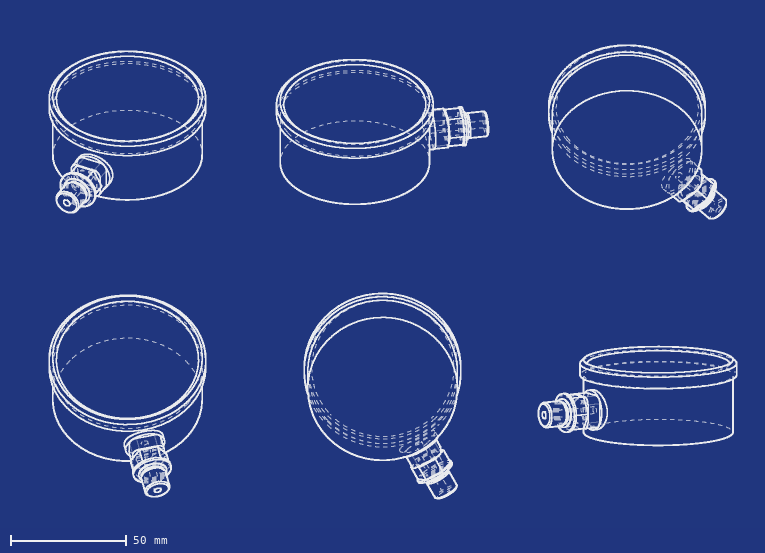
import cadquery as cq
import math

case_radius = 32.45
total_height = 32.0
overall_length = 92.14
bezel_diameter = 68.07
bezel_radius = bezel_diameter / 2
bezel_bottom = 25.3
bezel_bevel = 1.6

axis_height = 13.0
bore_radius = 1.5
wrench_size = 14.0
square_corner_fillet = 3.0
hexagon_corner_radius = wrench_size / 2 / math.cos(math.radians(30))
flange_radius = 8.7
neck_radius = 5.5
washer_radius = 8.45
seal_section_radius = 0.7
seal_outer_radius = 6.2
spigot_radius = 5.5
spigot_chamfer = 0.65
seal_seat_radius = spigot_radius - spigot_chamfer

flange_end = 34.1
square_end = 40.05
hexagon_start = 40.5
hexagon_end = 46.8
washer_end = 47.8
spigot_start = 49.45
spigot_end = overall_length - bezel_radius

flange_start = case_radius - flange_radius ** 2 / case_radius


def stage_plane(distance):
    """Workplane on the connection axis, facing outwards along -Y."""
    return cq.Workplane("XZ", origin=(0, -distance, axis_height))


def disc(radius, start, end):
    return stage_plane(start).circle(radius).extrude(end - start)


def make_case():
    top_radius = bezel_radius - bezel_bevel
    dial_radius = top_radius - bezel_bevel
    bevel_bottom = total_height - bezel_bevel
    outline = [
        (0, 0),
        (case_radius, 0),
        (case_radius, bezel_bottom),
        (bezel_radius, bezel_bottom),
        (bezel_radius, bevel_bottom),
        (top_radius, total_height),
        (dial_radius, bevel_bottom),
        (0, bevel_bottom),
    ]
    return cq.Workplane("XZ").polyline(outline).close().revolve(360, (0, 0), (0, 1))


def make_rounded_square():
    length = square_end - flange_end
    square = stage_plane(flange_end).rect(wrench_size, wrench_size).extrude(length)
    return square.edges("|Y").fillet(square_corner_fillet)


def make_hexagon():
    """Hexagon with corners along X and flats above and below."""
    length = hexagon_end - hexagon_start
    return stage_plane(hexagon_start).polygon(6, 2 * hexagon_corner_radius).extrude(length)


def make_seal_ring():
    """Ring of round section lying against the washer."""
    ring = cq.Solid.makeTorus(
        seal_outer_radius - seal_section_radius,
        seal_section_radius,
        cq.Vector(0, -(washer_end + seal_section_radius), axis_height),
        cq.Vector(0, -1, 0),
    )
    return cq.Workplane(ring)


def make_spigot():
    spigot = disc(spigot_radius, spigot_start, spigot_end)
    return spigot.faces("<Y or >Y").chamfer(spigot_chamfer)


stages = [
    disc(flange_radius, flange_start, flange_end),
    make_rounded_square(),
    disc(neck_radius, square_end, hexagon_start),
    make_hexagon(),
    disc(washer_radius, hexagon_end, washer_end),
    disc(seal_seat_radius, washer_end, spigot_start),
    make_seal_ring(),
    make_spigot(),
]

body = make_case()
for stage in stages:
    body = body.union(stage)

result = body.cut(disc(bore_radius, case_radius, spigot_end))